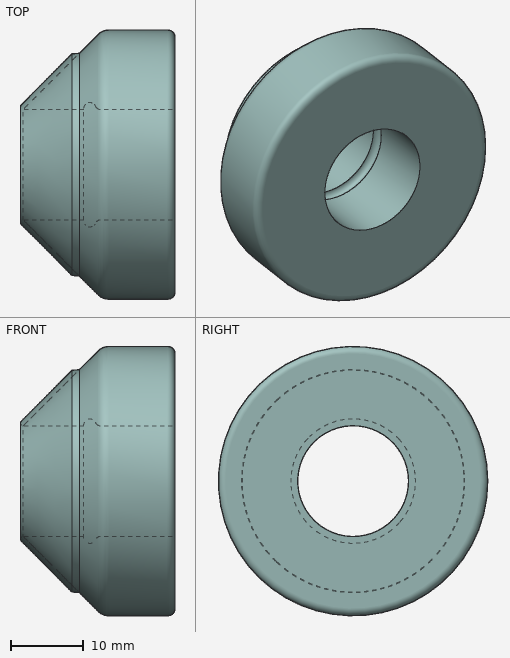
import cadquery as cq
import math

length = 21.25
outer_radius = 18.5
bore_radius = 7.6

cone_start_x = 0.37
shoulder_round = 2.0
rear_round = 1.0

groove_front_x = 8.7
groove_bottom_radius = 8.55
groove_section_radius = 0.85
groove_edge_round = 0.75

lip_round = 0.37
rim_front_x = 7.05
rim_front_radius = 15.25
rim_rear_x = 8.1

half_root = math.sqrt(0.5)


def nose_radius(x):
    """Radius of the 45 degree surface where base and cap touch."""
    return bore_radius + x - cone_start_x


def revolve_about_x(profile):
    return profile.close().revolve(360, (0, 0, 0), (1, 0, 0))


def make_base():
    cone_end_radius = outer_radius - shoulder_round * (1 - half_root)
    cone_end_x = cone_start_x + cone_end_radius - bore_radius
    drum_start_x = cone_end_x + shoulder_round * half_root
    shoulder_mid = (
        drum_start_x - shoulder_round * math.sin(math.pi / 8),
        outer_radius - shoulder_round * (1 - math.cos(math.pi / 8)),
    )

    groove_center_radius = groove_bottom_radius - groove_section_radius
    front_drop = groove_center_radius - bore_radius
    groove_center_x = groove_front_x + math.sqrt(groove_section_radius**2 - front_drop**2)
    center_distance = groove_section_radius + groove_edge_round
    center_rise = bore_radius + groove_edge_round - groove_center_radius
    groove_end_x = groove_center_x + math.sqrt(center_distance**2 - center_rise**2)
    join_share = groove_section_radius / center_distance
    groove_join = (
        groove_center_x + join_share * (groove_end_x - groove_center_x),
        groove_center_radius + join_share * center_rise,
    )

    profile = (
        cq.Workplane("XY")
        .moveTo(cone_start_x, bore_radius)
        .lineTo(cone_end_x, cone_end_radius)
        .threePointArc(shoulder_mid, (drum_start_x, outer_radius))
        .lineTo(length - rear_round, outer_radius)
        .tangentArcPoint((length, outer_radius - rear_round), relative=False)
        .lineTo(length, bore_radius)
        .lineTo(groove_end_x, bore_radius)
        .tangentArcPoint(groove_join, relative=False)
        .threePointArc((groove_center_x, groove_bottom_radius), (groove_front_x, bore_radius))
    )
    return revolve_about_x(profile)


def make_cap():
    lip_center_radius = bore_radius + lip_round
    lip_outer = (
        lip_round * (1 - half_root),
        lip_center_radius + lip_round * half_root,
    )
    lip_mid = (
        lip_round * (1 - math.cos(math.pi / 8)),
        lip_center_radius - lip_round * math.sin(math.pi / 8),
    )
    profile = (
        cq.Workplane("XY")
        .moveTo(cone_start_x, bore_radius)
        .threePointArc(lip_mid, lip_outer)
        .lineTo(rim_front_x, rim_front_radius)
        .lineTo(rim_rear_x, nose_radius(rim_rear_x))
    )
    return revolve_about_x(profile)


base = make_base()
cap = make_cap()
result = cq.Compound.makeCompound([base.val(), cap.val()])